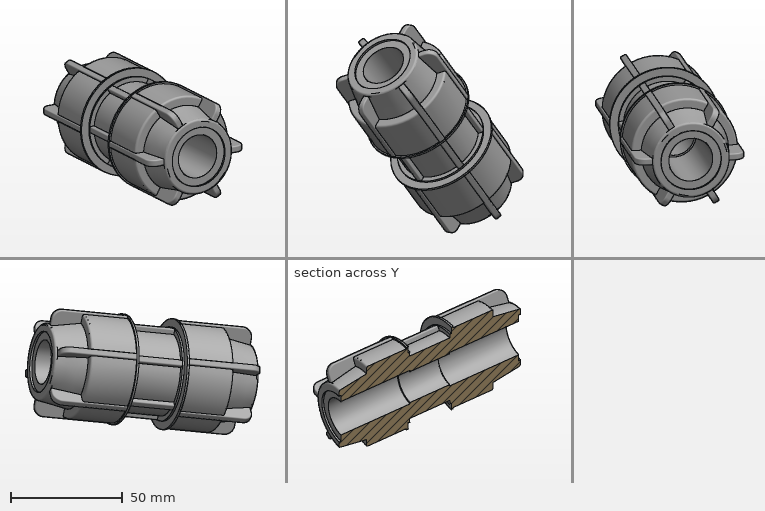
import cadquery as cq
import math

LENGTH = 98.0
HALF_LENGTH = LENGTH / 2

FLANGE_RADIUS = 50.0 / 2
BODY_RADIUS = 24.25
BODY_EDGE_ROUND = 1.0
CONE_LARGE_RADIUS = 20.0
NOSE_RADIUS = 17.5
NOSE_ROUND = 1.0
FLANGE_THICKNESS = 1.0
FLANGE_INNER_X = 11.6
FLANGE_OUTER_X = FLANGE_INNER_X + FLANGE_THICKNESS
BODY_END_X = 34.2
CONE_END_X = HALF_LENGTH - NOSE_ROUND

SHOULDER_RADIUS = 42.5 / 2
SHOULDER_THICKNESS = 0.9
SHOULDER_INNER_X = FLANGE_INNER_X - SHOULDER_THICKNESS
BARREL_RADIUS = 19.0

RIB_COUNT = 6
RIB_WIDTH = 3.0
RIB_EDGE_ROUND = 0.6
RIB_CORNER_RADIUS = 4.5
RIB_END_X = CONE_END_X
RIB_ROOT_RADIUS = 16.0

STOP_RADIUS = 18.4 / 2
SOCKET_RADIUS = 20.0 / 2
STOP_END_X = SHOULDER_INNER_X
RECESS_RADIUS = 27.5 / 2
RECESS_DEPTH = 1.0

AXIS_START = (0, 0, 0)
AXIS_END = (1, 0, 0)
QUARTER_COS = math.cos(math.radians(45))


def half_body():
    """Revolved half of the coupling from the middle plane to the +X end."""
    face_radius = NOSE_RADIUS - NOSE_ROUND
    nose_mid = (
        CONE_END_X + NOSE_ROUND * QUARTER_COS,
        face_radius + NOSE_ROUND * QUARTER_COS,
    )
    body_mid = (
        BODY_END_X - BODY_EDGE_ROUND * (1 - QUARTER_COS),
        BODY_RADIUS - BODY_EDGE_ROUND * (1 - QUARTER_COS),
    )
    recess_floor_x = HALF_LENGTH - RECESS_DEPTH
    profile = (
        cq.Workplane("XY")
        .moveTo(0, STOP_RADIUS)
        .lineTo(0, BARREL_RADIUS)
        .lineTo(SHOULDER_INNER_X, BARREL_RADIUS)
        .lineTo(SHOULDER_INNER_X, SHOULDER_RADIUS)
        .lineTo(FLANGE_INNER_X, SHOULDER_RADIUS)
        .lineTo(FLANGE_INNER_X, FLANGE_RADIUS)
        .lineTo(FLANGE_OUTER_X, FLANGE_RADIUS)
        .lineTo(FLANGE_OUTER_X, BODY_RADIUS)
        .lineTo(BODY_END_X - BODY_EDGE_ROUND, BODY_RADIUS)
        .threePointArc(body_mid, (BODY_END_X, BODY_RADIUS - BODY_EDGE_ROUND))
        .lineTo(BODY_END_X, CONE_LARGE_RADIUS)
        .lineTo(CONE_END_X, NOSE_RADIUS)
        .threePointArc(nose_mid, (HALF_LENGTH, face_radius))
        .lineTo(HALF_LENGTH, RECESS_RADIUS)
        .lineTo(recess_floor_x, RECESS_RADIUS)
        .lineTo(recess_floor_x, SOCKET_RADIUS)
        .lineTo(STOP_END_X, SOCKET_RADIUS)
        .lineTo(STOP_END_X, STOP_RADIUS)
        .close()
    )
    return profile.revolve(360, AXIS_START, AXIS_END)


def nut_rib():
    """Nut rib along +Y, with a rounded outer corner and softened outer edges."""
    length = RIB_END_X - FLANGE_OUTER_X
    height = FLANGE_RADIUS - RIB_ROOT_RADIUS
    return (
        cq.Workplane("XY")
        .box(length, height, RIB_WIDTH, centered=(False, False, True))
        .edges(">X and >Y")
        .fillet(RIB_CORNER_RADIUS)
        .faces(">Y")
        .edges("|X")
        .fillet(RIB_EDGE_ROUND)
        .translate((FLANGE_OUTER_X, RIB_ROOT_RADIUS, 0))
    )


def barrel_half_rib():
    """Half-length rib of the barrel along +Y, flush with the shoulder."""
    height = SHOULDER_RADIUS - RIB_ROOT_RADIUS
    return (
        cq.Workplane("XY")
        .box(SHOULDER_INNER_X, height, RIB_WIDTH, centered=(False, False, True))
        .faces(">Y")
        .edges("|X")
        .fillet(RIB_EDGE_ROUND)
        .translate((0, RIB_ROOT_RADIUS, 0))
    )


def half_coupling():
    half = half_body()
    for index in range(RIB_COUNT):
        angle = index * 360 / RIB_COUNT
        for rib in (nut_rib(), barrel_half_rib()):
            half = half.union(rib.rotate(AXIS_START, AXIS_END, angle))
    return half


half = half_coupling()
result = half.union(half.mirror("YZ")).clean()